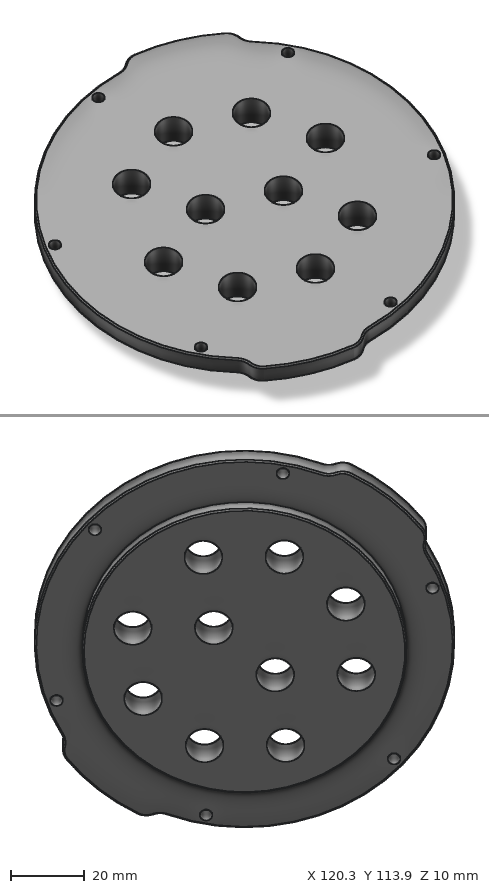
import cadquery as cq
import math

total_width = 120.3
disc_diameter = 113.9
plate_thickness = 6.0
total_height = 10.0
boss_diameter = 88.0
edge_chamfer = 0.5

ear_flank_angle = 30.0
ear_flank_distance = 42.1
ear_blend_radius = 5.0
seam_clearance = 1.2

port_diameter = 10.2
port_pitch = 29.1
inner_row_y = 11.1
outer_row_y = 27.5

screw_diameter = 3.4
screw_circle_radius = 53.9
screw_count = 6

boss_height = total_height - plate_thickness


def ear_body():
    """Diamond whose sides are the ear flanks, rounded off concentric with the disc."""
    angle = math.radians(ear_flank_angle)
    tip_x = ear_flank_distance / math.sin(angle)
    tip_y = ear_flank_distance / math.cos(angle)
    corners = [(tip_x, 0), (0, tip_y), (-tip_x, 0), (0, -tip_y)]
    diamond = cq.Workplane("XY").polyline(corners).close().extrude(plate_thickness)
    ear_circle = cq.Workplane("XY").circle(total_width / 2).extrude(plate_thickness)
    return diamond.intersect(ear_circle)


def make_plate():
    """Disc with two ears, blended at every corner and chamfered along both rims."""
    disc = cq.Workplane("XY").circle(disc_diameter / 2).extrude(plate_thickness)
    plate = disc.union(ear_body())
    ear_corners = plate.edges("|Z").filter(lambda edge: abs(edge.Center().y) > seam_clearance)
    plate = ear_corners.fillet(ear_blend_radius)
    return plate.faces("<Z or >Z").chamfer(edge_chamfer)


def make_boss():
    """Round boss under the plate, chamfered at its free end."""
    boss = cq.Workplane("XY").circle(boss_diameter / 2).extrude(-boss_height)
    return boss.faces("<Z").chamfer(edge_chamfer)


def through_holes(points, diameter):
    """Cylinders spanning the full height at the given points."""
    base = cq.Workplane("XY").workplane(offset=-boss_height)
    return base.pushPoints(points).circle(diameter / 2).extrude(total_height)


port_points = []
for side in (-1, 1):
    port_points += [(column * port_pitch, side * inner_row_y) for column in (-1, 0, 1)]
    port_points += [(column * port_pitch, side * outer_row_y) for column in (-0.5, 0.5)]

screw_points = []
for index in range(screw_count):
    screw_angle = math.pi / 2 + index * 2 * math.pi / screw_count
    screw_x = screw_circle_radius * math.cos(screw_angle)
    screw_y = screw_circle_radius * math.sin(screw_angle)
    screw_points.append((screw_x, screw_y))

result = make_plate().union(make_boss())
result = result.cut(through_holes(port_points, port_diameter))
result = result.cut(through_holes(screw_points, screw_diameter))